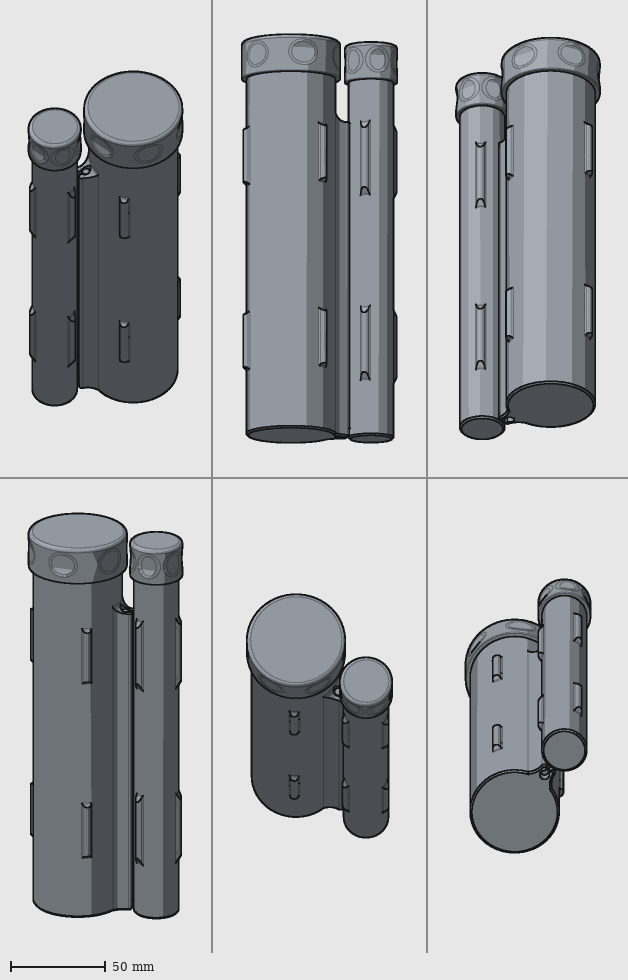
import cadquery as cq
import math

TUBE_SPACING = 44.0
TUBE_LENGTH = 192.5
BIG_TUBE_RADIUS = 47.5 / 2
SMALL_TUBE_RADIUS = 24.0 / 2
FOOT_CHAMFER = 1.0

CAP_HEIGHT = 20.0
BIG_CAP_RADIUS = 52.5 / 2
SMALL_CAP_RADIUS = 28.0 / 2
CAP_TOP_FILLET = 2.0
CAP_BOTTOM_FILLET = 0.5
DIMPLE_COUNT = 6
DIMPLE_DEPTH = 1.0
DIMPLE_CURVE_RADIUS = 20.0
DIMPLE_RIM_FILLET = 5.0
DIMPLE_HEIGHT = 10.5
RIM_SEARCH_MARGIN = 1.0

RIB_RADIUS = 2.25
RIBS_PER_RING = 3
RIB_CENTRE_HEIGHTS = (50.0, 150.0)
RIB_FOOT_FILLET = 0.75
BIG_RIB_CREST_LENGTH = 28.0
BIG_RIB_END_ANGLE = 60.0
BIG_RIB_FIRST_ANGLE = 90.0
SMALL_RIB_CREST_LENGTH = 32.0
SMALL_RIB_END_ANGLE = 30.0
SMALL_RIB_FIRST_ANGLE = -90.0

WEB_HALF_WIDTH = 4.25
WEB_FLARE_RADIUS = 10.0
WEB_FLARE_CENTRE_Y = -30.25
WEB_TIP_Y = -31.2
WEB_TIP_ROUNDING = 1.5
WEB_TOP = 170.0
WEB_TOP_FILLET = 5.0

GROOVE_RADIUS = 2.5
GROOVE_CENTRE_Y = -26.5
GROOVE_NECK_WIDTH = 2.5
GROOVE_MOUTH_FILLET = 1.0
RAIL_CLEARANCE = 0.5
RAIL_BOTTOM = 5.0
RAIL_ROOT_FILLET = 0.75

SIZE_TOLERANCE = 1e-3
EDGE_SEARCH_MARGIN = 0.1


def foot_fillet(tube, radius, fillet):
    """Rounds the edges where ribs meet the wall of an upright tube on the Z axis."""
    feet = []
    for edge in tube.edges().vals():
        samples = [edge.positionAt(share) for share in (0.25, 0.5, 0.75)]
        on_wall = all(abs(math.hypot(p.x, p.y) - radius) < SIZE_TOLERANCE for p in samples)
        inside_ends = all(SIZE_TOLERANCE < p.z < TUBE_LENGTH - SIZE_TOLERANCE for p in samples)
        is_seam = edge.BoundingBox().zlen > TUBE_LENGTH / 2
        if on_wall and inside_ends and not is_seam:
            feet.append(edge)
    return tube.newObject(feet).fillet(fillet)


def rib(crest_radius, crest_length, end_angle):
    """An upright round bar at +X, centred on Z = 0, its ends cut off by flat slopes."""
    sunk_radius = crest_radius - 2 * RIB_RADIUS
    crest_end = crest_length / 2
    base_end = crest_end + 2 * RIB_RADIUS / math.tan(math.radians(end_angle))
    bar = (
        cq.Workplane("XY")
        .center(crest_radius - RIB_RADIUS, 0)
        .circle(RIB_RADIUS)
        .extrude(base_end, both=True)
    )
    side_shape = (
        cq.Workplane("XZ")
        .polyline([
            (crest_radius, -crest_end),
            (crest_radius, crest_end),
            (sunk_radius, base_end),
            (sunk_radius, -base_end),
        ])
        .close()
        .extrude(RIB_RADIUS, both=True)
    )
    return bar.intersect(side_shape)


def ribbed_tube(radius, bar, first_angle):
    """A tube on the Z axis with rings of ribs, chamfered round its foot."""
    tube = cq.Workplane("XY").circle(radius).extrude(TUBE_LENGTH)
    for height in RIB_CENTRE_HEIGHTS:
        for index in range(RIBS_PER_RING):
            angle = first_angle + index * 360 / RIBS_PER_RING
            tube = tube.union(bar.rotate((0, 0, 0), (0, 0, 1), angle).translate((0, 0, height)))
    tube = foot_fillet(tube, radius, RIB_FOOT_FILLET)
    return tube.faces("<Z").chamfer(FOOT_CHAMFER)


def cap(radius):
    """A round cap standing on the tube end, with finger dimples round its side."""
    body = cq.Workplane("XY").circle(radius).extrude(CAP_HEIGHT)
    body = body.faces(">Z").edges().fillet(CAP_TOP_FILLET)
    body = body.faces("<Z").edges().fillet(CAP_BOTTOM_FILLET)
    scoop = (
        cq.Workplane("XZ")
        .center(radius - DIMPLE_DEPTH + DIMPLE_CURVE_RADIUS, DIMPLE_HEIGHT)
        .circle(DIMPLE_CURVE_RADIUS)
        .extrude(radius, both=True)
    )
    for index in range(DIMPLE_COUNT):
        body = body.cut(scoop.rotate((0, 0, 0), (0, 0, 1), index * 360 / DIMPLE_COUNT))
    rims = body.edges(cq.selectors.BoxSelector(
        (-radius, -radius, DIMPLE_HEIGHT - RIM_SEARCH_MARGIN),
        (radius, radius, DIMPLE_HEIGHT + RIM_SEARCH_MARGIN),
    )).edges("not |Z")
    return rims.fillet(DIMPLE_RIM_FILLET).translate((0, 0, TUBE_LENGTH))


def web():
    """The web: flared from the tube, rounded at its tip, its top swept up into the tube."""
    flare_centre_x = WEB_HALF_WIDTH + WEB_FLARE_RADIUS

    centre_distance = math.hypot(flare_centre_x, WEB_FLARE_CENTRE_Y)
    centre_angle = math.atan2(flare_centre_x, -WEB_FLARE_CENTRE_Y)
    crossing_cosine = (BIG_TUBE_RADIUS**2 + centre_distance**2 - WEB_FLARE_RADIUS**2) / (
        2 * BIG_TUBE_RADIUS * centre_distance
    )
    root_angle = centre_angle - math.acos(crossing_cosine)
    root = (BIG_TUBE_RADIUS * math.sin(root_angle), -BIG_TUBE_RADIUS * math.cos(root_angle))

    def flare_point(y):
        reach = math.sqrt(WEB_FLARE_RADIUS**2 - (y - WEB_FLARE_CENTRE_Y) ** 2)
        return (flare_centre_x - reach, y)

    shoulder = flare_point(WEB_TIP_Y + WEB_TIP_ROUNDING)
    flare_middle = flare_point((root[1] + shoulder[1]) / 2)
    tip = (shoulder[0] - WEB_TIP_ROUNDING, WEB_TIP_Y)
    diagonal = WEB_TIP_ROUNDING * math.sqrt(0.5)
    rounding_middle = (tip[0] + diagonal, shoulder[1] - diagonal)

    def mirrored(point):
        return (-point[0], point[1])

    body = (
        cq.Workplane("XY")
        .lineTo(*root)
        .threePointArc(flare_middle, shoulder)
        .threePointArc(rounding_middle, tip)
        .lineTo(*mirrored(tip))
        .threePointArc(mirrored(rounding_middle), mirrored(shoulder))
        .threePointArc(mirrored(flare_middle), mirrored(root))
        .close()
        .extrude(WEB_TOP + WEB_TOP_FILLET)
        .faces("<Z")
        .chamfer(FOOT_CHAMFER)
    )
    clear_radius = 2 * BIG_TUBE_RADIUS
    above_web = (
        cq.Workplane("XZ")
        .moveTo(BIG_TUBE_RADIUS, WEB_TOP + WEB_TOP_FILLET)
        .radiusArc((BIG_TUBE_RADIUS + WEB_TOP_FILLET, WEB_TOP), -WEB_TOP_FILLET)
        .lineTo(clear_radius, WEB_TOP)
        .lineTo(clear_radius, WEB_TOP + WEB_TOP_FILLET)
        .close()
        .revolve(360, (0, 0, 0), (0, 1, 0))
    )
    return body.cut(above_web)


def keyhole(radius, neck_width, end_y, bottom, top):
    """A round bar with a flat neck running from it to end_y."""
    bar = (
        cq.Workplane("XY")
        .workplane(offset=bottom)
        .center(0, GROOVE_CENTRE_Y)
        .circle(radius)
        .extrude(top - bottom)
    )
    neck = (
        cq.Workplane("XY")
        .workplane(offset=bottom)
        .center(0, (GROOVE_CENTRE_Y + end_y) / 2)
        .rect(neck_width, GROOVE_CENTRE_Y - end_y)
        .extrude(top - bottom)
    )
    return bar.union(neck)


def edges_along(body, half_width, y, bottom, top):
    """The upright edges at X = +-half_width near the given Y."""
    return body.edges("|Z").edges(cq.selectors.BoxSelector(
        (-half_width - EDGE_SEARCH_MARGIN, y - EDGE_SEARCH_MARGIN, bottom),
        (half_width + EDGE_SEARCH_MARGIN, y + EDGE_SEARCH_MARGIN, top),
    ))


def large_tube():
    """The large tube with its ribs and its grooved web."""
    bar = rib(BIG_CAP_RADIUS, BIG_RIB_CREST_LENGTH, BIG_RIB_END_ANGLE)
    tube = ribbed_tube(BIG_TUBE_RADIUS, bar, BIG_RIB_FIRST_ANGLE)
    groove = keyhole(GROOVE_RADIUS, GROOVE_NECK_WIDTH, WEB_TIP_Y, 0, WEB_TOP + WEB_TOP_FILLET)
    tube = tube.union(web()).cut(groove)
    mouth = edges_along(tube, GROOVE_NECK_WIDTH / 2, WEB_TIP_Y, 0, WEB_TOP)
    return mouth.fillet(GROOVE_MOUTH_FILLET)


def small_tube():
    """The small tube with its ribs and the rail that slides in the groove."""
    bar = rib(SMALL_CAP_RADIUS, SMALL_RIB_CREST_LENGTH, SMALL_RIB_END_ANGLE)
    tube = ribbed_tube(SMALL_TUBE_RADIUS, bar, SMALL_RIB_FIRST_ANGLE)
    neck_width = GROOVE_NECK_WIDTH - 2 * RAIL_CLEARANCE
    rail = keyhole(GROOVE_RADIUS - RAIL_CLEARANCE, neck_width, -TUBE_SPACING, RAIL_BOTTOM, WEB_TOP)
    tube = tube.translate((0, -TUBE_SPACING, 0)).union(rail)
    root_y = math.sqrt(SMALL_TUBE_RADIUS**2 - (neck_width / 2) ** 2) - TUBE_SPACING
    root = edges_along(tube, neck_width / 2, root_y, RAIL_BOTTOM, WEB_TOP)
    return root.fillet(RAIL_ROOT_FILLET)


large_tube_body = large_tube()
small_tube_body = small_tube()
large_cap = cap(BIG_CAP_RADIUS)
small_cap = cap(SMALL_CAP_RADIUS).translate((0, -TUBE_SPACING, 0))

result = cq.Compound.makeCompound([
    large_tube_body.val(),
    small_tube_body.val(),
    large_cap.val(),
    small_cap.val(),
])